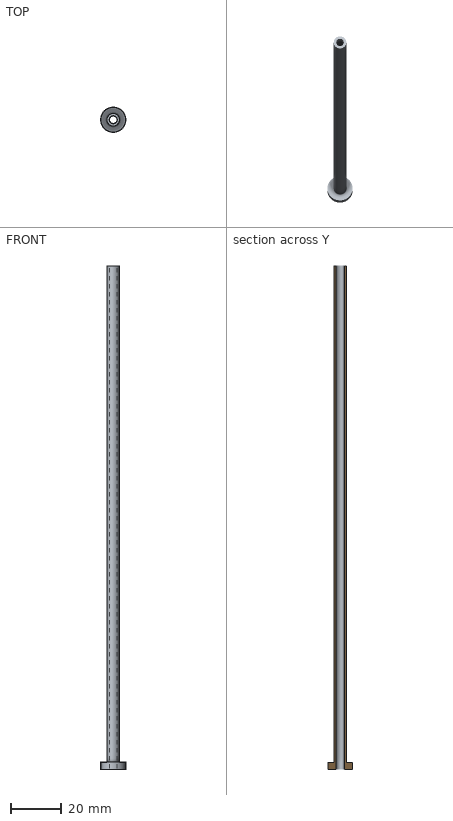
import cadquery as cq

total_length = 200.0
head_diameter = 10.0
head_height = 3.0
tube_diameter = 5.0
bore_diameter = 3.0
neck_fillet_radius = 0.3

head = cq.Workplane("XY").circle(head_diameter / 2).extrude(head_height)
tube = cq.Workplane("XY").circle(tube_diameter / 2).extrude(total_length)
bore = cq.Workplane("XY").circle(bore_diameter / 2).extrude(total_length)

head_top = cq.selectors.NearestToPointSelector((0, 0, head_height))
neck_edge = cq.selectors.RadiusNthSelector(0)
body = head.union(tube).faces(head_top).edges(neck_edge).fillet(neck_fillet_radius)

result = body.cut(bore)